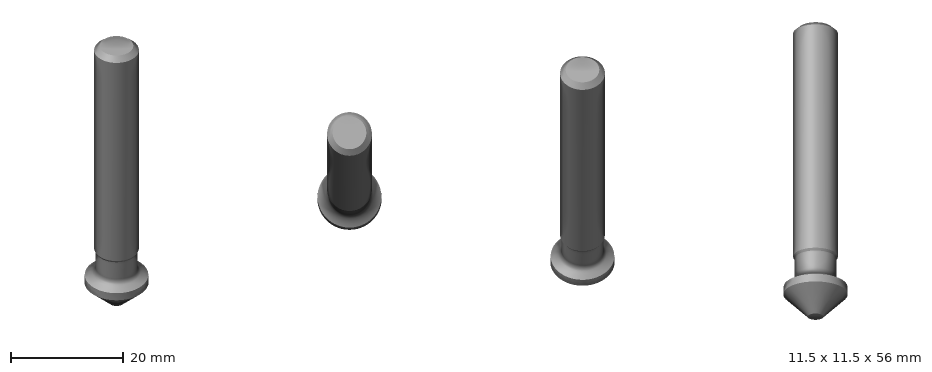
import cadquery as cq
import math

total_length = 56.0

head_radius = 5.75
tip_radius = 1.4
cone_half_angle = math.radians(45)
rim_height = 1.5
rim_top_radius = 5.68
shoulder_angle = math.radians(30)

neck_radius = 3.75
neck_fillet_radius = 1.0
neck_top_z = 11.25
neck_taper_angle = math.radians(30)

shank_radius = 4.0
end_face_radius = 3.0
end_chamfer_height = 0.9

rim_bottom_z = (head_radius - tip_radius) / math.tan(cone_half_angle)
rim_top_z = rim_bottom_z + rim_height
shank_bottom_z = neck_top_z + (shank_radius - neck_radius) / math.tan(neck_taper_angle)
shank_top_z = total_length - end_chamfer_height

fillet_center_r = neck_radius + neck_fillet_radius
fillet_foot_r = fillet_center_r - neck_fillet_radius * math.sin(shoulder_angle)
fillet_foot_z = rim_top_z + (rim_top_radius - fillet_foot_r) * math.tan(shoulder_angle)
fillet_sweep = math.pi / 2 - shoulder_angle
fillet_top_z = fillet_foot_z + neck_fillet_radius * math.sin(fillet_sweep)
fillet_mid_r = fillet_center_r - neck_fillet_radius * math.cos(fillet_sweep / 2)
fillet_mid_z = fillet_top_z - neck_fillet_radius * math.sin(fillet_sweep / 2)


def half_profile():
    """Closed half section in the XZ plane, from the tip up to the shank end."""
    return (
        cq.Workplane("XZ")
        .moveTo(0, 0)
        .lineTo(tip_radius, 0)
        .lineTo(head_radius, rim_bottom_z)
        .lineTo(rim_top_radius, rim_top_z)
        .lineTo(fillet_foot_r, fillet_foot_z)
        .threePointArc((fillet_mid_r, fillet_mid_z), (neck_radius, fillet_top_z))
        .lineTo(neck_radius, neck_top_z)
        .lineTo(shank_radius, shank_bottom_z)
        .lineTo(shank_radius, shank_top_z)
        .lineTo(end_face_radius, total_length)
        .lineTo(0, total_length)
        .close()
    )


result = half_profile().revolve(360, (0, 0), (0, 1))